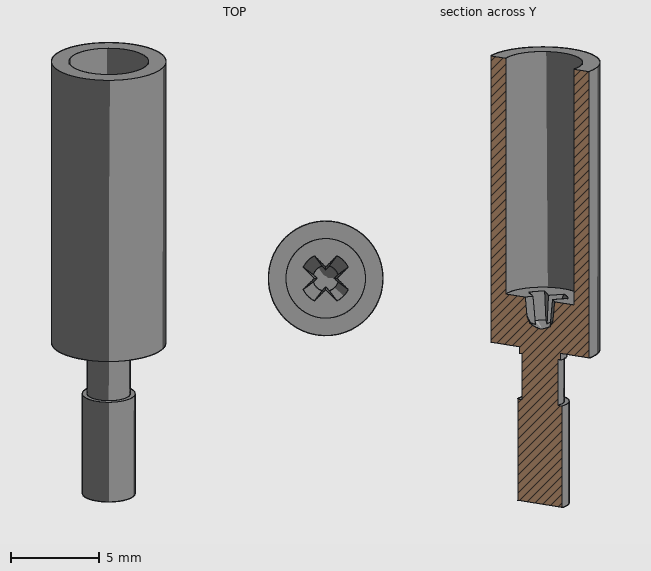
import cadquery as cq

TOTAL_HEIGHT = 25.9
TIP_HEIGHT = 5.98
NECK_HEIGHT = 2.67
COLLAR_HEIGHT = 0.4

SLEEVE_DIAMETER = 6.5
COLLAR_DIAMETER = 2.77
NECK_DIAMETER = 2.45
TIP_DIAMETER = 3.0

BORE_DIAMETER = 4.5
FLOOR_THICKNESS = 3.0

RECESS_MOUTH_RADIUS = 1.42
RECESS_ROOT_RADIUS = 0.73
RECESS_WING_DEPTH = 1.5
RECESS_POINT_DEPTH = 0.4
RECESS_WING_WIDTH = 0.9
RECESS_WALL_DRAFT = 4.0
RECESS_ANGLE = 45

neck_bottom = TIP_HEIGHT
collar_bottom = neck_bottom + NECK_HEIGHT
sleeve_bottom = collar_bottom + COLLAR_HEIGHT
bore_floor = sleeve_bottom + FLOOR_THICKNESS


def cylinder(diameter, bottom, top):
    """Cylinder on the Z axis between two heights."""
    return cq.Workplane("XY").workplane(offset=bottom).circle(diameter / 2).extrude(top - bottom)


def cross_recess():
    """Driver recess: two crossed drafted slots bounded by a steep cone with a shallow conical point."""
    wing_bottom = bore_floor - RECESS_WING_DEPTH
    point_bottom = wing_bottom - RECESS_POINT_DEPTH
    envelope = (
        cq.Workplane("XZ")
        .moveTo(0, bore_floor)
        .lineTo(RECESS_MOUTH_RADIUS, bore_floor)
        .lineTo(RECESS_ROOT_RADIUS, wing_bottom)
        .lineTo(0, point_bottom)
        .close()
        .revolve(360, (0, 0), (0, 1))
    )
    slot_length = 3 * RECESS_MOUTH_RADIUS
    slot = (
        cq.Workplane("XY")
        .workplane(offset=bore_floor)
        .rect(slot_length, RECESS_WING_WIDTH)
        .extrude(point_bottom - bore_floor, taper=RECESS_WALL_DRAFT)
        .rotate((0, 0, 0), (0, 0, 1), RECESS_ANGLE)
    )
    crossing_slot = slot.rotate((0, 0, 0), (0, 0, 1), 90)
    return envelope.intersect(slot.union(crossing_slot))


body = cylinder(TIP_DIAMETER, 0, neck_bottom)
body = body.union(cylinder(NECK_DIAMETER, neck_bottom, collar_bottom))
body = body.union(cylinder(COLLAR_DIAMETER, collar_bottom, sleeve_bottom))
body = body.union(cylinder(SLEEVE_DIAMETER, sleeve_bottom, TOTAL_HEIGHT))

bore = cylinder(BORE_DIAMETER, bore_floor, TOTAL_HEIGHT)
result = body.cut(bore).cut(cross_recess())